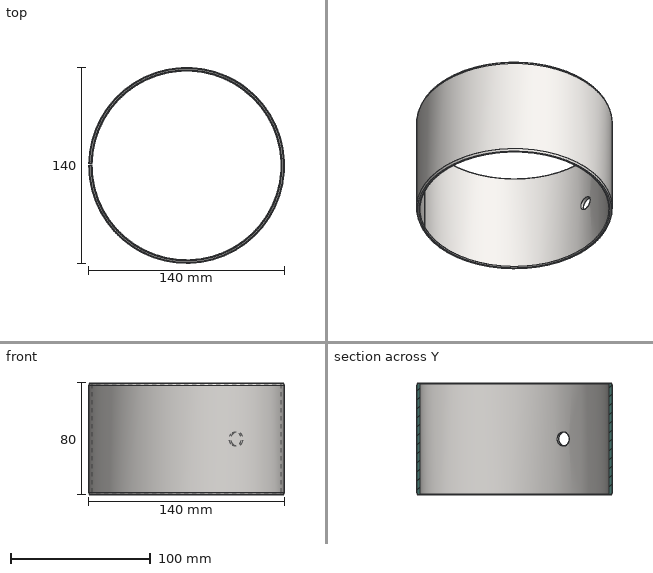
import cadquery as cq
import math

outer_diameter = 140.0
wall_thickness = 2.5
height = 80.0
slit_angle = 1.0

outer_chamfer_length = 1.8
outer_chamfer_angle = 20.0
inner_chamfer_length = 0.75

hole_diameter = 10.0
hole_to_slit_angle = 120.0

outer_radius = outer_diameter / 2
inner_radius = outer_radius - wall_thickness
half_height = height / 2
sweep_angle = 360.0 - slit_angle
outer_chamfer_depth = outer_chamfer_length * math.tan(math.radians(outer_chamfer_angle))

slit_start = 180.0
slit_edge = slit_start - slit_angle
hole_direction = slit_edge - hole_to_slit_angle


def split_ring():
    """Thin ring with chamfered ends, swept about Z from the -X axis and stopping short of closing."""
    outer_rim = outer_radius - outer_chamfer_depth
    inner_rim = inner_radius + inner_chamfer_length
    outer_shoulder = half_height - outer_chamfer_length
    inner_shoulder = half_height - inner_chamfer_length
    wall_section = [
        (inner_radius, -inner_shoulder),
        (inner_rim, -half_height),
        (outer_rim, -half_height),
        (outer_radius, -outer_shoulder),
        (outer_radius, outer_shoulder),
        (outer_rim, half_height),
        (inner_rim, half_height),
        (inner_radius, inner_shoulder),
    ]
    section = cq.Workplane("XZ").polyline(wall_section).close()
    ring = section.revolve(sweep_angle, (0, 0), (0, 1))
    return ring.rotate((0, 0, 0), (0, 0, 1), slit_start)


def hole_cutter():
    """Pin from the axis outwards that pierces the wall once."""
    pin = cq.Workplane("YZ").circle(hole_diameter / 2).extrude(outer_diameter)
    return pin.rotate((0, 0, 0), (0, 0, 1), hole_direction)


result = split_ring().cut(hole_cutter())